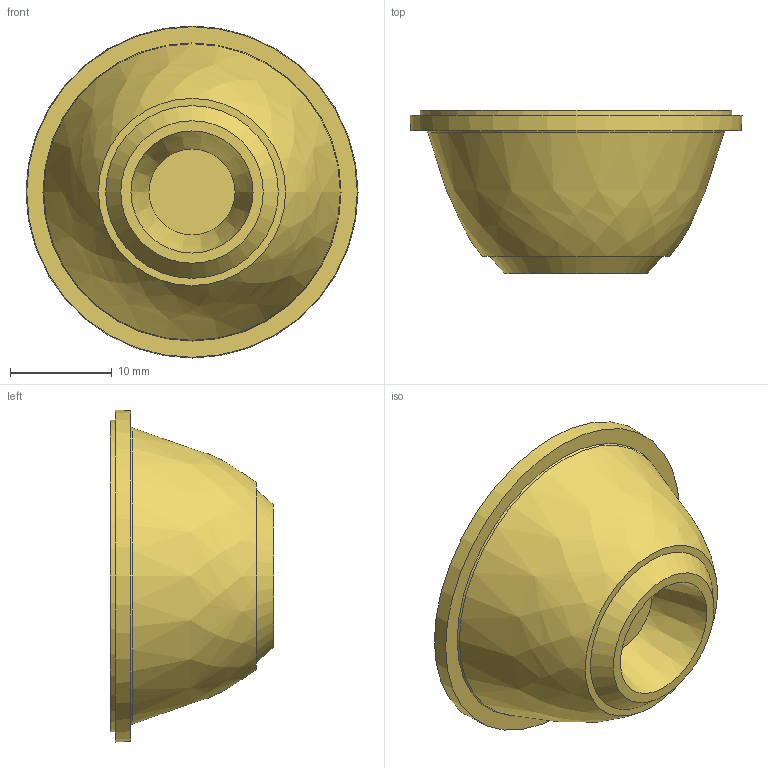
import cadquery as cq

total_length = 16.05

spigot_radius = 15.3
spigot_length = 0.5
flange_rear_radius = 16.315
flange_front_radius = 16.25
flange_thickness = 1.5

neck_radius = 14.65
neck_length = 0.2

bowl_rear_radius = 14.55
bowl_front_radius = 9.2
bowl_length = 12.15
bowl_curve_points = [(5.05, 12.96), (7.8, 11.84), (10.55, 10.4)]

nose_base_radius = 8.48
nose_tip_radius = 7.0

pocket_mouth_radius = 6.0
pocket_floor_radius = 4.23
pocket_depth = 5.85

flange_rear_y = total_length - spigot_length
flange_front_y = flange_rear_y - flange_thickness
bowl_rear_y = flange_front_y - neck_length
bowl_front_y = bowl_rear_y - bowl_length


def revolve_about_y(profile):
    """Turn a closed XY half-profile into a solid of revolution about Y."""
    return profile.close().revolve(360, (0, 0, 0), (0, 1, 0))


def make_body():
    """Spigot, flange, neck, bowl and nose as one revolved solid."""
    bowl_curve = [(radius, bowl_rear_y - distance) for distance, radius in bowl_curve_points]
    bowl_curve.append((bowl_front_radius, bowl_front_y))
    profile = (
        cq.Workplane("XY")
        .moveTo(0, total_length)
        .lineTo(spigot_radius, total_length)
        .lineTo(spigot_radius, flange_rear_y)
        .lineTo(flange_rear_radius, flange_rear_y)
        .lineTo(flange_front_radius, flange_front_y)
        .lineTo(neck_radius, flange_front_y)
        .lineTo(bowl_rear_radius, bowl_rear_y)
        .spline(bowl_curve, includeCurrent=True)
        .lineTo(nose_base_radius, bowl_front_y)
        .lineTo(nose_tip_radius, 0)
        .lineTo(0, 0)
    )
    return revolve_about_y(profile)


def make_pocket():
    """Cone frustum that narrows from the nose face to a flat floor."""
    profile = (
        cq.Workplane("XY")
        .lineTo(pocket_mouth_radius, 0)
        .lineTo(pocket_floor_radius, pocket_depth)
        .lineTo(0, pocket_depth)
    )
    return revolve_about_y(profile)


result = make_body().cut(make_pocket())